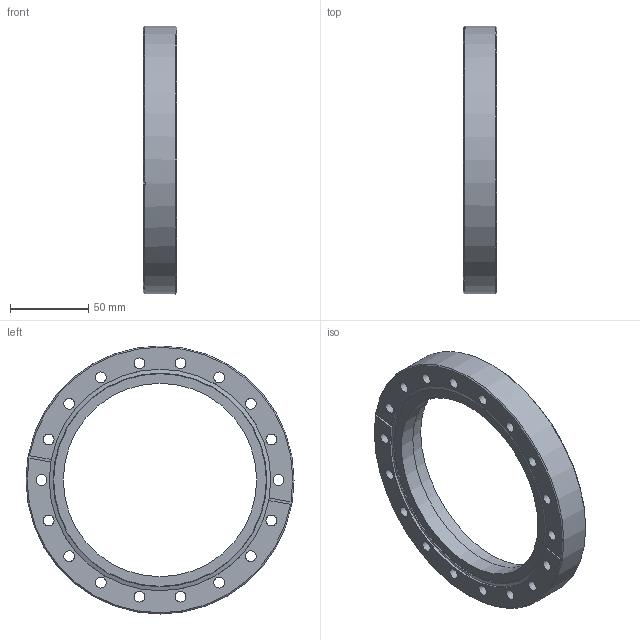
import cadquery as cq
import math

thickness = 21.34
outer_diameter = 171.45
bore_diameter = 123.7
edge_chamfer = 0.76

socket_diameter = 128.7
socket_depth = 9.6

recess_diameter = 141.7
knife_tip_diameter = 136.7
knife_tip_depth = 0.7
knife_slope = 20.0
knife_root_diameter = 136.0
inner_face_depth = 1.27

bolt_count = 18
bolt_circle_diameter = 151.6
bolt_hole_diameter = 6.9

groove_count = 2
groove_width = 1.6
groove_depth = 1.2
groove_overlap = 0.3
groove_angle = 10.0

front_x = -thickness / 2
back_x = thickness / 2
outer_radius = outer_diameter / 2
recess_radius = recess_diameter / 2
knife_tip_radius = knife_tip_diameter / 2


def make_body():
    """Revolve the ring's section, drawn as (x, radius), about the X axis."""
    flank_drop = (recess_radius - knife_tip_radius) * math.tan(math.radians(knife_slope))
    recess_floor_x = front_x + knife_tip_depth + flank_drop
    inner_face_x = front_x + inner_face_depth
    socket_x = back_x - socket_depth
    section = [
        (front_x, recess_radius),
        (front_x, outer_radius - edge_chamfer),
        (front_x + edge_chamfer, outer_radius),
        (back_x - edge_chamfer, outer_radius),
        (back_x, outer_radius - edge_chamfer),
        (back_x, socket_diameter / 2),
        (socket_x, socket_diameter / 2),
        (socket_x, bore_diameter / 2),
        (inner_face_x, bore_diameter / 2),
        (inner_face_x, knife_root_diameter / 2),
        (front_x + knife_tip_depth, knife_tip_radius),
        (recess_floor_x, recess_radius),
    ]
    return cq.Workplane("XZ").polyline(section).close().revolve(360, (0, 0, 0), (1, 0, 0))


def make_bolt_holes():
    """Through holes on the bolt circle, the first one on +Y."""
    return (
        cq.Workplane("YZ", origin=(front_x, 0, 0))
        .polarArray(bolt_circle_diameter / 2, 0, 360, bolt_count)
        .circle(bolt_hole_diameter / 2)
        .extrude(thickness)
    )


def make_leak_groove(angle):
    """Radial slot in the front face, running from the recess wall out to the rim."""
    start_radius = recess_radius - groove_overlap
    groove = cq.Workplane("XY").box(
        groove_depth, outer_radius - start_radius, groove_width, centered=(False, False, True)
    )
    return groove.translate((front_x, start_radius, 0)).rotate((0, 0, 0), (1, 0, 0), angle)


result = make_body().cut(make_bolt_holes())
for index in range(groove_count):
    result = result.cut(make_leak_groove(groove_angle + index * 360 / groove_count))